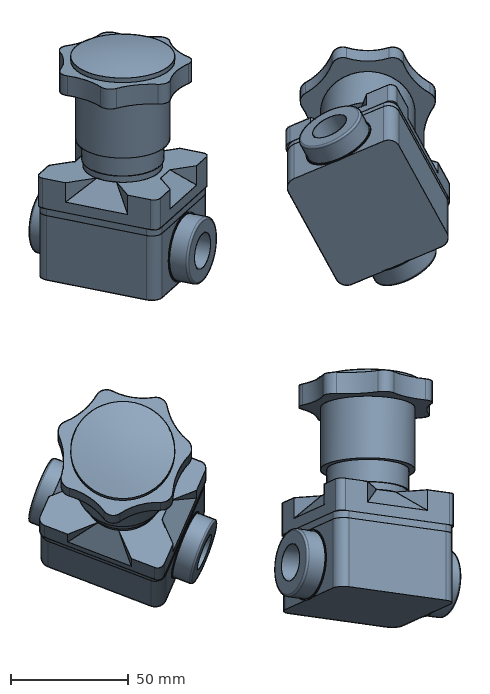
import cadquery as cq
import math

PORT_AXIS_Z = 15.2
HOUSING_BOTTOM = 0.3
HOUSING_TOP = 30.5
BONNET_BOTTOM = 33.7
BONNET_TOP = 47.7
GROOVE_TOP = 50.9
SLEEVE_BOTTOM = 60.6
KNOB_BOTTOM = 87.7
KNOB_TOP = 97.0
CAP_EDGE = 99.1
DOME_TOP = 101.1

BLOCK_LENGTH = 57.0
BLOCK_WIDTH = 52.2
HOUSING_CORNER_RADIUS = 5.0
BONNET_CORNER_RADIUS = 3.1

PORT_SPAN = 75.0
PORT_DIAMETER = 29.2
PORT_EDGE_FILLET = 0.9
COLLAR_DIAMETER = 2 * PORT_AXIS_Z
COLLAR_THICKNESS = 0.4
BORE_DIAMETER = 16.0
BORE_DEPTH = 25.3

POCKET_FLOOR_Z = 38.6
SIDE_POCKET_MOUTH = 26.4
SIDE_POCKET_END = 9.3
FRONT_POCKET_MOUTH = 29.2
FRONT_POCKET_END = 9.2

GROOVE_DIAMETER = 33.9
NECK_DIAMETER = 35.0
SLEEVE_DIAMETER = 40.2
CAP_DIAMETER = 44.3

LOBE_COUNT = 7
LOBE_RADIUS = 5.0
LOBE_CENTER_RADIUS = 24.4
VALLEY_DISTANCE = 25.2
FIRST_LOBE_ANGLE = math.pi


def rounded_block(bottom, top, corner_radius):
    return (
        cq.Workplane("XY", origin=(0, 0, bottom))
        .rect(BLOCK_LENGTH, BLOCK_WIDTH)
        .extrude(top - bottom)
        .edges("|Z")
        .fillet(corner_radius)
    )


def port_cylinder(diameter, start, length):
    """Cylinder on the port axis, running toward +X from x = start."""
    return (
        cq.Workplane("YZ", origin=(start, 0, PORT_AXIS_Z))
        .circle(diameter / 2)
        .extrude(length)
    )


def make_housing():
    """Rectangular housing with a collared, bored port at each end."""
    housing = rounded_block(HOUSING_BOTTOM, HOUSING_TOP, HOUSING_CORNER_RADIUS)
    wall_x = BLOCK_LENGTH / 2
    outer_x = PORT_SPAN / 2
    port = port_cylinder(PORT_DIAMETER, wall_x, outer_x - wall_x)
    port = port.faces(">X").edges().fillet(PORT_EDGE_FILLET)
    collar = port_cylinder(COLLAR_DIAMETER, wall_x, COLLAR_THICKNESS)
    bore = port_cylinder(BORE_DIAMETER, outer_x - BORE_DEPTH, BORE_DEPTH)
    for turn in (0, 180):
        for boss in (collar, port):
            housing = housing.union(boss.rotate((0, 0, 0), (0, 0, 1), turn))
        housing = housing.cut(bore.rotate((0, 0, 0), (0, 0, 1), turn))
    return housing


def make_diaphragm():
    return rounded_block(HOUSING_TOP, BONNET_BOTTOM, HOUSING_CORNER_RADIUS)


def make_pocket(wall_x, mouth, end):
    """Pocket at the +X wall: side walls converging at 45 degrees in plan and a floor rising inward."""
    inner_x = wall_x - (mouth - end) / 2
    ramp = (
        cq.Workplane("XZ")
        .polyline([(wall_x, POCKET_FLOOR_Z), (wall_x, BONNET_TOP), (inner_x, BONNET_TOP)])
        .close()
        .extrude(mouth / 2, both=True)
    )
    plan = (
        cq.Workplane("XY", origin=(0, 0, POCKET_FLOOR_Z))
        .polyline([(wall_x, -mouth / 2), (wall_x, mouth / 2), (inner_x, end / 2), (inner_x, -end / 2)])
        .close()
        .extrude(BONNET_TOP - POCKET_FLOOR_Z)
    )
    return ramp.intersect(plan)


def make_bonnet():
    bonnet = rounded_block(BONNET_BOTTOM, BONNET_TOP, BONNET_CORNER_RADIUS)
    side_pocket = make_pocket(BLOCK_LENGTH / 2, SIDE_POCKET_MOUTH, SIDE_POCKET_END)
    front_pocket = make_pocket(BLOCK_WIDTH / 2, FRONT_POCKET_MOUTH, FRONT_POCKET_END)
    for pocket, turns in ((side_pocket, (0, 180)), (front_pocket, (90, 270))):
        for turn in turns:
            bonnet = bonnet.cut(pocket.rotate((0, 0, 0), (0, 0, 1), turn))
    return bonnet


def make_spindle():
    """Revolved groove, neck, sleeve, cap and shallow spherical dome."""
    cap_radius = CAP_DIAMETER / 2
    dome_height = DOME_TOP - CAP_EDGE
    sphere_radius = (cap_radius**2 + dome_height**2) / (2 * dome_height)
    middle_radius = cap_radius / 2
    middle_z = DOME_TOP - sphere_radius + math.sqrt(sphere_radius**2 - middle_radius**2)
    return (
        cq.Workplane("XZ")
        .moveTo(0, BONNET_TOP)
        .lineTo(GROOVE_DIAMETER / 2, BONNET_TOP)
        .lineTo(GROOVE_DIAMETER / 2, GROOVE_TOP)
        .lineTo(NECK_DIAMETER / 2, GROOVE_TOP)
        .lineTo(NECK_DIAMETER / 2, SLEEVE_BOTTOM)
        .lineTo(SLEEVE_DIAMETER / 2, SLEEVE_BOTTOM)
        .lineTo(SLEEVE_DIAMETER / 2, KNOB_TOP)
        .lineTo(cap_radius, KNOB_TOP)
        .lineTo(cap_radius, CAP_EDGE)
        .threePointArc((middle_radius, middle_z), (0, DOME_TOP))
        .close()
        .revolve(360, (0, 0, 0), (0, 1, 0))
    )


def polar(radius, angle):
    return (radius * math.cos(angle), radius * math.sin(angle))


def make_handwheel():
    """Plate outlined by convex lobes joined by tangent concave arcs."""
    pitch = 2 * math.pi / LOBE_COUNT
    lobe_along = LOBE_CENTER_RADIUS * math.cos(pitch / 2)
    lobe_across = LOBE_CENTER_RADIUS * math.sin(pitch / 2)
    gap = VALLEY_DISTANCE - lobe_along
    valley_radius = (gap**2 + lobe_across**2 - LOBE_RADIUS**2) / (2 * (LOBE_RADIUS - gap))
    share = LOBE_RADIUS / (LOBE_RADIUS + valley_radius)
    join_along = lobe_along + share * (VALLEY_DISTANCE + valley_radius - lobe_along)
    join_across = lobe_across * (1 - share)
    join_radius = math.hypot(join_along, join_across)
    join_offset = pitch / 2 - math.atan2(join_across, join_along)
    tip_radius = LOBE_CENTER_RADIUS + LOBE_RADIUS

    outline = cq.Workplane("XY", origin=(0, 0, KNOB_BOTTOM)).moveTo(
        *polar(join_radius, FIRST_LOBE_ANGLE - join_offset)
    )
    for index in range(LOBE_COUNT):
        angle = FIRST_LOBE_ANGLE + index * pitch
        outline = outline.threePointArc(polar(tip_radius, angle), polar(join_radius, angle + join_offset))
        outline = outline.threePointArc(
            polar(VALLEY_DISTANCE, angle + pitch / 2),
            polar(join_radius, angle + pitch - join_offset),
        )
    return outline.close().extrude(KNOB_TOP - KNOB_BOTTOM)


def make_actuator():
    """Bonnet, spindle and handwheel formed as one solid."""
    return make_bonnet().union(make_spindle()).union(make_handwheel())


housing = make_housing()
diaphragm = make_diaphragm()
actuator = make_actuator()

result = cq.Compound.makeCompound([housing.val(), diaphragm.val(), actuator.val()])